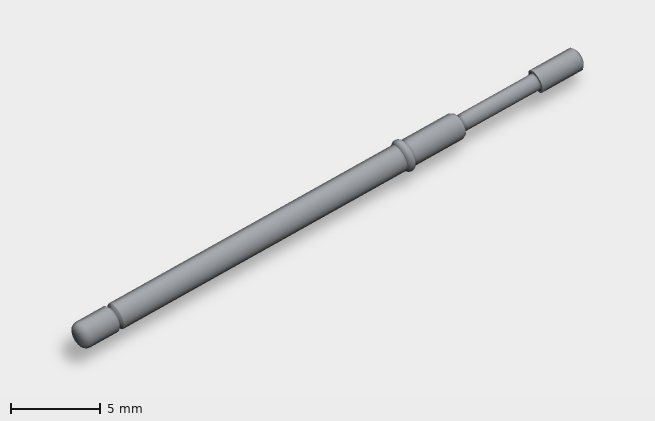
import cadquery as cq
import math

total_length = 34.3

sleeve_radius = 0.82
sleeve_length = 26.0
sleeve_chamfer_length = 0.2
sleeve_chamfer_depth = 0.1
tail_fillet = 0.45

groove_position = 2.5
groove_width = 0.35
groove_depth = 0.17

collar_radius = 1.0
collar_start = 21.95
collar_width = 0.6
collar_rim_radius = collar_width / 2

shaft_radius = 0.5
head_radius = 0.72
head_length = 3.05
dome_height = 0.3
head_start = total_length - head_length
dome_start = total_length - dome_height
dome_radius = (head_radius**2 + dome_height**2) / (2 * dome_height)


def cylinder(radius, start, length):
    """Solid cylinder on the Y axis, growing toward +Y from the given position."""
    plane = cq.Workplane(cq.Plane(origin=(0, start, 0), xDir=(1, 0, 0), normal=(0, 1, 0)))
    return plane.circle(radius).extrude(length)


def revolve_about_y(half_profile):
    """Turn a closed XY half profile into a full body of revolution."""
    return half_profile.revolve(360, (0, 0, 0), (0, 1, 0))


def make_sleeve():
    sleeve = cylinder(sleeve_radius, 0, sleeve_length).faces("<Y").edges().fillet(tail_fillet)
    shoulder_start = sleeve_length - sleeve_chamfer_length
    chamfer_cut = revolve_about_y(
        cq.Workplane("XY")
        .moveTo(sleeve_radius, shoulder_start)
        .lineTo(sleeve_radius, sleeve_length)
        .lineTo(sleeve_radius - sleeve_chamfer_depth, sleeve_length)
        .close()
    )
    groove = revolve_about_y(
        cq.Workplane("XY")
        .moveTo(sleeve_radius, groove_position - groove_width / 2)
        .lineTo(sleeve_radius - groove_depth, groove_position)
        .lineTo(sleeve_radius, groove_position + groove_width / 2)
        .close()
    )
    return sleeve.cut(chamfer_cut).cut(groove)


def make_collar():
    shoulder_radius = collar_radius - collar_rim_radius
    return revolve_about_y(
        cq.Workplane("XY")
        .moveTo(0, collar_start)
        .lineTo(shoulder_radius, collar_start)
        .threePointArc(
            (collar_radius, collar_start + collar_rim_radius),
            (shoulder_radius, collar_start + collar_width),
        )
        .lineTo(0, collar_start + collar_width)
        .close()
    )


def make_plunger():
    shaft = cylinder(shaft_radius, sleeve_length, head_start - sleeve_length)
    dome_mid_radius = head_radius / 2
    dome_mid = total_length - dome_radius + math.sqrt(dome_radius**2 - dome_mid_radius**2)
    head = revolve_about_y(
        cq.Workplane("XY")
        .moveTo(0, head_start)
        .lineTo(head_radius, head_start)
        .lineTo(head_radius, dome_start)
        .threePointArc((dome_mid_radius, dome_mid), (0, total_length))
        .close()
    )
    return shaft.union(head)


result = make_sleeve().union(make_collar()).union(make_plunger())